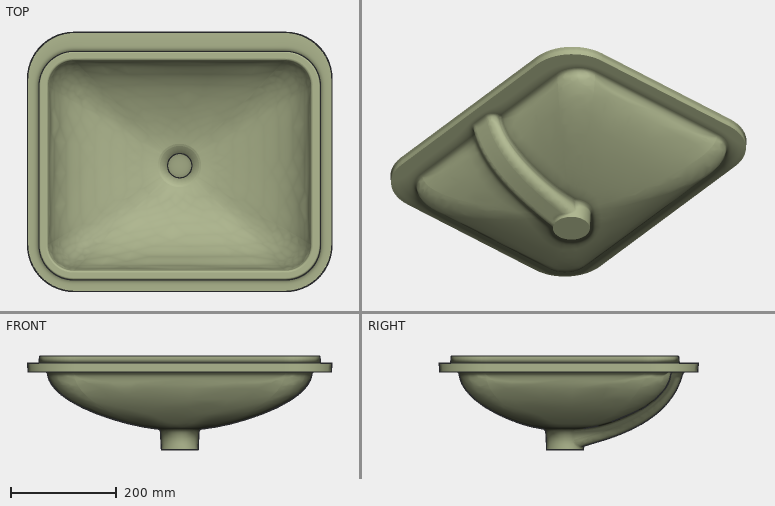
import cadquery as cq
import math

overall_height = 178.0
flange_top = -13.5
flange_bottom = -30.5

corner_x = 200.0
corner_y = 150.0
flange_half_width = 576.67 / 2
flange_depth = 490.99
rim_reach = 66.5
opening_reach = 49.0
bowl_reach = 50.5
flange_radius = flange_half_width - corner_x
side_draft = 4.0

bowl_bottom = -140.0
bowl_foot_radius = 36.0
cavity_bottom = -131.0
cavity_foot_radius = 41.0
inner_power = 1.3
outer_power = 0.5
section_count = 8

spout_top_radius = 37.0
spout_bottom_radius = 35.0
spout_overlap = 4.0
recess_edge_radius = 37.0
recess_edge_drop = 2.0
recess_floor_radius = 23.0
recess_floor = -145.0

channel_half_width = 32.0
channel_path = [(224.0, flange_bottom), (181.0, -103.0), (106.0, -148.0), (10.0, -177.5)]
channel_edge_radius = 16.0
channel_root_middle = (127.0, -102.0)
channel_root_radius = 4.0

rim_edge_radius = 3.0
opening_edge_radius = 4.0
bowl_joint_radius = 4.0
spout_joint_radius = 5.0
selection_margin = 1.0


def rounded_slab(half_x, y_min, y_max, radius, z_bottom, height, taper):
    """Rounded rectangle extruded from z_bottom, drawn in by the taper angle."""
    return (
        cq.Workplane("XY", origin=(0, (y_min + y_max) / 2, z_bottom))
        .sketch().rect(2 * half_x, y_max - y_min).vertices().fillet(radius).finalize()
        .extrude(height, taper=taper)
    )


def bowl_section(t, reach, foot_radius, z):
    """Closed wire that blends from the foot circle (t = 0) to the rim outline (t = 1)."""
    round_offset = reach * math.sqrt(0.5)
    quarter = [
        (corner_x + reach, 0),
        (corner_x + reach, corner_y),
        (corner_x + round_offset, corner_y + round_offset),
        (corner_x, corner_y + reach),
    ]
    back_middle = (0, corner_y + reach)
    right_back = quarter + [back_middle] + [(-x, y) for x, y in reversed(quarter)]
    outline = right_back + [(-x, -y) for x, y in right_back[1:-1]]

    points = []
    for x, y in outline:
        shrink = t + (1 - t) * foot_radius / math.hypot(x, y)
        points.append(cq.Vector(x * shrink, y * shrink, z))

    edges = []
    point_count = len(points)
    for start in range(1, point_count, 2):
        a, b, c = (points[(start + step) % point_count] for step in range(3))
        straight = t == 1 and start % 4 == 3
        edges.append(cq.Edge.makeLine(a, c) if straight else cq.Edge.makeThreePointArc(a, b, c))
    return cq.Wire.assembleEdges(edges)


def bowl_solid(reach, foot_radius, z_top, z_bottom):
    wires = []
    for index in range(section_count + 1):
        t = math.sin(math.pi / 2 * index / section_count)
        depth = max(0.0, 1 - t ** inner_power) ** outer_power
        wires.append(bowl_section(t, reach, foot_radius, z_top + (z_bottom - z_top) * depth))
    return cq.Workplane(cq.Solid.makeLoft(wires))


def flange():
    y_min = -(corner_y + flange_radius)
    return rounded_slab(
        flange_half_width, y_min, y_min + flange_depth, flange_radius,
        flange_top, flange_bottom - flange_top, side_draft,
    )


def rim():
    half_x = corner_x + rim_reach
    half_y = corner_y + rim_reach
    slab = rounded_slab(half_x, -half_y, half_y, rim_reach, flange_top, -flange_top, side_draft)
    return slab.faces(">Z").edges().fillet(rim_edge_radius)


def spout():
    height = overall_height + bowl_bottom + spout_overlap
    draft = math.degrees(math.atan((spout_top_radius - spout_bottom_radius) / height))
    return (
        cq.Workplane("XY", origin=(0, 0, -overall_height))
        .circle(spout_bottom_radius)
        .extrude(height, taper=-draft)
    )


def overflow_channel():
    """Rib that follows the back of the bowl from the flange down to the spout."""
    start = channel_path[0]
    end = channel_path[-1]
    rib = (
        cq.Workplane("YZ")
        .moveTo(*start)
        .spline(channel_path[1:], includeCurrent=True)
        .lineTo(end[0], flange_bottom)
        .close()
        .extrude(channel_half_width, both=True)
    )
    outer_edges = rib.faces(">X or <X").edges("%BSPLINE")
    return rib.newObject(outer_edges.vals()).fillet(channel_edge_radius)


def drain_recess():
    edge_z = cavity_bottom - recess_edge_drop
    return (
        cq.Workplane("XZ")
        .moveTo(0, cavity_bottom)
        .lineTo(cavity_foot_radius, cavity_bottom)
        .lineTo(recess_edge_radius, edge_z)
        .lineTo(recess_floor_radius, recess_floor)
        .lineTo(0, recess_floor)
        .close()
        .revolve(360, (0, 0, 0), (0, 1, 0))
    )


def edges_at(solid, half_x, half_y, z):
    """Edges of the solid that lie near height z, inside a plan rectangle on the drain axis."""
    far_x = half_x + selection_margin
    far_y = half_y + selection_margin
    box = cq.selectors.BoxSelector(
        (-far_x, -far_y, z - selection_margin), (far_x, far_y, z + selection_margin)
    )
    return solid.edges(box)


def add_overflow_channel(basin):
    """Join the channel to the basin and round the corners between its sides and the bowl."""
    joined = basin.union(overflow_channel())
    root_edges = [
        joined.edges(cq.selectors.NearestToPointSelector((side, *channel_root_middle))).val()
        for side in (-channel_half_width, channel_half_width)
    ]
    return joined.newObject(root_edges).fillet(channel_root_radius)


outer_bowl = bowl_solid(bowl_reach, bowl_foot_radius, flange_bottom, bowl_bottom)
basin = outer_bowl.union(flange()).union(rim()).union(spout())
basin = edges_at(
    basin, corner_x + bowl_reach, corner_y + bowl_reach, flange_bottom
).fillet(bowl_joint_radius)
basin = edges_at(basin, spout_top_radius, spout_top_radius, bowl_bottom).fillet(spout_joint_radius)
basin = add_overflow_channel(basin)

cavity = bowl_solid(opening_reach, cavity_foot_radius, 0, cavity_bottom)
basin = basin.cut(cavity).cut(drain_recess())
result = edges_at(
    basin, corner_x + opening_reach, corner_y + opening_reach, 0
).fillet(opening_edge_radius)